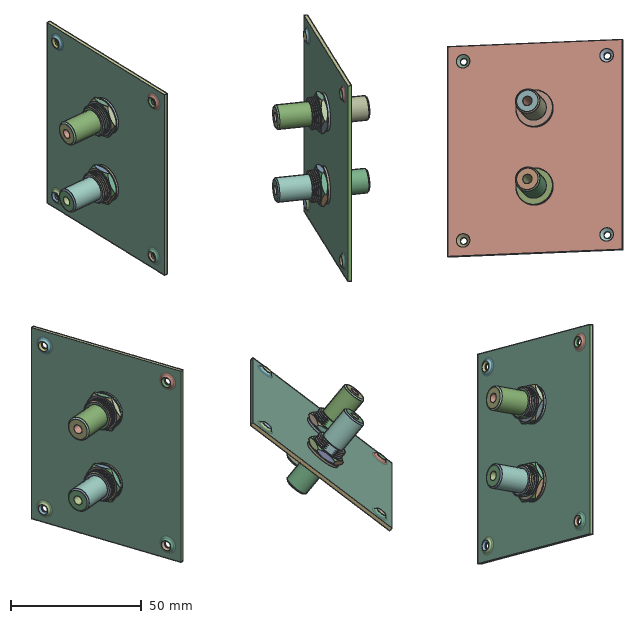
import cadquery as cq
import math


PANEL_WIDTH = 68.1
PANEL_HEIGHT = 82.0
PANEL_THICKNESS = 1.5
PANEL_FRONT = 1.8
PANEL_BACK = PANEL_FRONT + PANEL_THICKNESS

COLLAR_SPACING_X = 55.95
COLLAR_SPACING_Z = 70.1
COLLAR_HEIGHT = 1.15
COLLAR_BASE_RADIUS = 3.5
COLLAR_FLARE_WIDTH = 0.65
COLLAR_RIM = PANEL_FRONT - COLLAR_HEIGHT
COLLAR_CONE_ANGLE = 48.0
CONE_ANGLE = math.radians(COLLAR_CONE_ANGLE)
FLARE_RADIUS = COLLAR_BASE_RADIUS - COLLAR_FLARE_WIDTH
FLARE_HEIGHT = COLLAR_FLARE_WIDTH * math.tan(CONE_ANGLE / 2)
RIM_RADIUS = FLARE_RADIUS - (COLLAR_HEIGHT - FLARE_HEIGHT) / math.tan(CONE_ANGLE)

MOUTH_DEPTH = 0.9
THROAT_RADIUS = 1.3
THROAT_LENGTH = 0.65
COUNTERSINK_RADIUS = 2.6

CONNECTOR_SPACING = 30.5
CONNECTOR_LENGTH = 36.3
BARREL_RADIUS = 4.75
BARREL_CHAMFER_LENGTH = 0.6
BARREL_CHAMFER_WIDTH = 0.6
BORE_RADIUS = 1.8
BODY_LENGTH = 9.5
FLANGE_RADIUS = 7.1
THREAD_RADIUS = 6.2
THREAD_ROOT_RADIUS = 5.7
THREAD_PITCH = 0.8
THREAD_CREST_WIDTH = THREAD_PITCH / 8
THREAD_FLAT_DISTANCE = 5.4

WASHER_RADIUS = 7.4
WASHER_THICKNESS = 0.9
NUT_ACROSS_FLATS = 14.1
NUT_THICKNESS = 2.5
NUT_CHAMFER_ANGLE = 35.0
NUT_FACE_RADIUS = 7.0

CONNECTOR_END = CONNECTOR_LENGTH / 2
BODY_END = BODY_LENGTH / 2
WASHER_FRONT = PANEL_FRONT - WASHER_THICKNESS
NUT_FRONT = WASHER_FRONT - NUT_THICKNESS
CONNECTOR_HEIGHTS = (-CONNECTOR_SPACING / 2, CONNECTOR_SPACING / 2)


def revolve_about_y(outline):
    """Revolve a closed outline, drawn with X as the radius, around the Y axis."""
    return outline.close().revolve(360, (0, 0, 0), (0, 1, 0))


def cylinder(radius, front, back):
    """Make a cylinder on the Y axis between two Y positions."""
    return cq.Workplane("XZ", origin=(0, back, 0)).circle(radius).extrude(back - front)


def flatted_cylinder(radius, front, back):
    """Make a cylinder on the Y axis with the flat of the connector body along its underside."""
    size = 2 * radius
    kept_side = cq.Workplane("XY").box(size, CONNECTOR_LENGTH, size)
    kept_side = kept_side.translate((0, 0, radius - THREAD_FLAT_DISTANCE))
    return cylinder(radius, front, back).intersect(kept_side)


def thread_groove(center):
    """Make the ring that cuts one V groove, centred on the given Y position."""
    half_width = (THREAD_PITCH - THREAD_CREST_WIDTH) / 2
    outline = (
        cq.Workplane("XY")
        .moveTo(THREAD_RADIUS, center - half_width)
        .lineTo(THREAD_ROOT_RADIUS, center)
        .lineTo(THREAD_RADIUS, center + half_width)
    )
    return revolve_about_y(outline)


def threaded_body():
    """Make the grooved front of the body and its shank through the nut, washer and panel."""
    body = flatted_cylinder(THREAD_RADIUS, -BODY_END, NUT_FRONT)
    groove_count = math.ceil((NUT_FRONT + BODY_END) / THREAD_PITCH)
    for index in range(groove_count):
        body = body.cut(thread_groove(-BODY_END + index * THREAD_PITCH))
    return body.union(flatted_cylinder(THREAD_ROOT_RADIUS, NUT_FRONT, PANEL_BACK))


def barrel():
    """Make the full-length barrel with a chamfer at each end."""
    shoulder = CONNECTOR_END - BARREL_CHAMFER_LENGTH
    end_radius = BARREL_RADIUS - BARREL_CHAMFER_WIDTH
    outline = (
        cq.Workplane("XY")
        .moveTo(0, -CONNECTOR_END)
        .lineTo(end_radius, -CONNECTOR_END)
        .lineTo(BARREL_RADIUS, -shoulder)
        .lineTo(BARREL_RADIUS, shoulder)
        .lineTo(end_radius, CONNECTOR_END)
        .lineTo(0, CONNECTOR_END)
    )
    return revolve_about_y(outline)


def make_connector():
    """Make a connector: threaded body, rear flange, barrel and through bore."""
    flange = cylinder(FLANGE_RADIUS, PANEL_BACK, BODY_END)
    bore = cylinder(BORE_RADIUS, -CONNECTOR_END, CONNECTOR_END)
    return threaded_body().union(flange).union(barrel()).cut(bore)


def make_washer():
    """Make the flat washer between the panel and the nut."""
    ring = cylinder(WASHER_RADIUS, WASHER_FRONT, PANEL_FRONT)
    return ring.cut(cylinder(THREAD_ROOT_RADIUS, WASHER_FRONT, PANEL_FRONT))


def make_nut():
    """Make the hexagon nut with corners on X, chamfered on both faces."""
    corner_radius = NUT_ACROSS_FLATS / math.sqrt(3)
    drop = (corner_radius - NUT_FACE_RADIUS) * math.tan(math.radians(NUT_CHAMFER_ANGLE))
    hexagon = (
        cq.Workplane("XZ", origin=(0, WASHER_FRONT, 0))
        .polygon(6, 2 * corner_radius)
        .extrude(NUT_THICKNESS)
    )
    chamfer_outline = (
        cq.Workplane("XY")
        .moveTo(0, NUT_FRONT)
        .lineTo(NUT_FACE_RADIUS, NUT_FRONT)
        .lineTo(corner_radius, NUT_FRONT + drop)
        .lineTo(corner_radius, WASHER_FRONT - drop)
        .lineTo(NUT_FACE_RADIUS, WASHER_FRONT)
        .lineTo(0, WASHER_FRONT)
    )
    blank = hexagon.intersect(revolve_about_y(chamfer_outline))
    return blank.cut(cylinder(THREAD_ROOT_RADIUS, NUT_FRONT, WASHER_FRONT))


def collar():
    """Make one collar, a cone that flares out tangentially into the panel."""
    outline = (
        cq.Workplane("XY")
        .moveTo(0, PANEL_FRONT)
        .lineTo(0, COLLAR_RIM)
        .lineTo(RIM_RADIUS, COLLAR_RIM)
        .lineTo(FLARE_RADIUS, PANEL_FRONT - FLARE_HEIGHT)
        .tangentArcPoint((COLLAR_BASE_RADIUS, PANEL_FRONT), relative=False)
    )
    return revolve_about_y(outline)


def collar_hole():
    """Make the cutter for the mouth, throat and rear countersink of one collar."""
    throat_front = COLLAR_RIM + MOUTH_DEPTH
    throat_back = throat_front + THROAT_LENGTH
    outline = (
        cq.Workplane("XY")
        .moveTo(0, COLLAR_RIM)
        .lineTo(RIM_RADIUS, COLLAR_RIM)
        .lineTo(THROAT_RADIUS, throat_front)
        .lineTo(THROAT_RADIUS, throat_back)
        .lineTo(COUNTERSINK_RADIUS, PANEL_BACK)
        .lineTo(0, PANEL_BACK)
    )
    return revolve_about_y(outline)


def make_panel():
    """Make the panel with four collars and a flat-sided hole for each connector."""
    panel = (
        cq.Workplane("XZ", origin=(0, PANEL_BACK, 0))
        .rect(PANEL_WIDTH, PANEL_HEIGHT)
        .extrude(PANEL_THICKNESS)
    )
    for x in (-COLLAR_SPACING_X / 2, COLLAR_SPACING_X / 2):
        for z in (-COLLAR_SPACING_Z / 2, COLLAR_SPACING_Z / 2):
            panel = panel.union(collar().translate((x, 0, z)))
            panel = panel.cut(collar_hole().translate((x, 0, z)))
    connector_hole = flatted_cylinder(THREAD_ROOT_RADIUS, PANEL_FRONT, PANEL_BACK)
    for z in CONNECTOR_HEIGHTS:
        panel = panel.cut(connector_hole.translate((0, 0, z)))
    return panel


panel = make_panel()
fittings = []
for z in CONNECTOR_HEIGHTS:
    for fitting in (make_connector(), make_washer(), make_nut()):
        fittings.append(fitting.translate((0, 0, z)).val())

result = cq.Compound.makeCompound([panel.val(), *fittings])